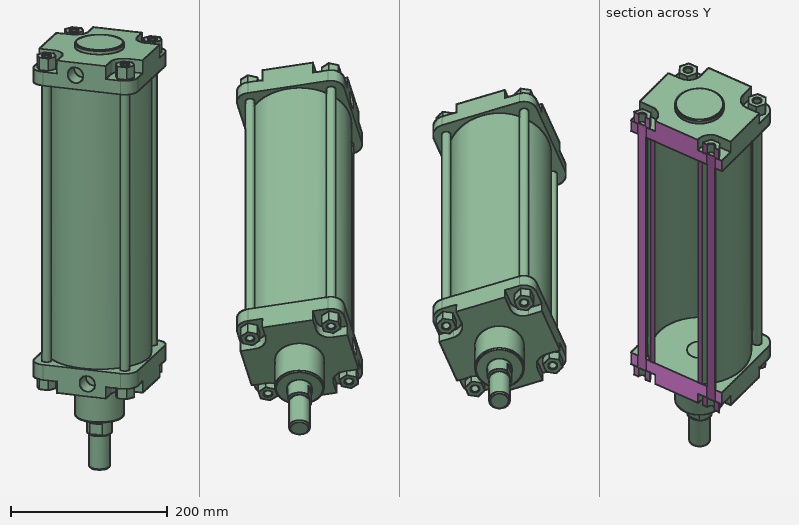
import cadquery as cq

total_length = 574.0
thread_length = 48.0
flats_length = 15.5
nose_length = 49.0
nose_end = 70.0
head_bottom = nose_end + nose_length
block_thickness = 36.0
collar_height = 6.0
cap_top = total_length - collar_height
cap_bottom = cap_top - block_thickness
head_top = head_bottom + block_thickness

block_width = 140.0
block_half = block_width / 2
block_corner_radius = 17.5
pocket_start = 33.0
pocket_corner_radius = 18.0
head_pocket_depth = 15.5
cap_pocket_depth = 17.5
nose_diameter = 63.0
nose_chamfer = 1.75
collar_chamfer = 1.5

port_diameter = 21.0
port_depth = 25.0
port_offset = 8.0
port_face_distance = 17.0

barrel_outer_diameter = 133.0
bore_diameter = 125.0

rod_diameter = 32.0
thread_diameter = 27.0
flats_width = 27.0
thread_chamfer = 2.0

tie_rod_spacing = 106.0
tie_rod_diameter = 12.0
nut_across_flats = 22.0
nut_across_corners = nut_across_flats * 2 / 3 ** 0.5
nut_socket_diameter = 10.0
nut_socket_depth = 15.0
socket_chamfer = 1.0
cap_nut_recess = 1.0
cap_nut_height = cap_pocket_depth - cap_nut_recess
head_nut_height = head_pocket_depth

corner_signs = [(sx, sy) for sx in (-1, 1) for sy in (-1, 1)]
tie_rod_points = [
    (sx * tie_rod_spacing / 2, sy * tie_rod_spacing / 2) for sx, sy in corner_signs
]


def cylinder(diameter, bottom, top):
    """Cylinder on the Z axis between two heights."""
    return cq.Workplane("XY").workplane(offset=bottom).circle(diameter / 2).extrude(top - bottom)


def end_block(bottom):
    """Square block with rounded corners and holes for the tie rods."""
    block = (
        cq.Workplane("XY")
        .workplane(offset=bottom)
        .rect(block_width, block_width)
        .extrude(block_thickness)
        .edges("|Z")
        .fillet(block_corner_radius)
    )
    holes = (
        cq.Workplane("XY")
        .workplane(offset=bottom)
        .pushPoints(tie_rod_points)
        .circle(tie_rod_diameter / 2)
        .extrude(block_thickness)
    )
    return block.cut(holes)


def corner_pockets(bottom, depth):
    """Four round-cornered recesses that seat the tie-rod nuts."""
    pocket_width = 2 * (block_half - pocket_start)
    return (
        cq.Workplane("XY")
        .workplane(offset=bottom)
        .pushPoints([(sx * block_half, sy * block_half) for sx, sy in corner_signs])
        .rect(pocket_width, pocket_width)
        .extrude(depth)
        .edges("|Z")
        .fillet(pocket_corner_radius)
    )


def port(x, z):
    """Blind air port entering from the -Y face."""
    return (
        cq.Workplane("XZ", origin=(x, -block_half, z))
        .circle(port_diameter / 2)
        .extrude(-port_depth)
    )


def make_rod_head():
    """End block with the long nose that guides the piston rod."""
    nose = cylinder(nose_diameter, nose_end, head_bottom).faces("<Z").chamfer(nose_chamfer)
    return (
        end_block(head_bottom)
        .cut(corner_pockets(head_bottom, head_pocket_depth))
        .union(nose)
        .cut(cylinder(rod_diameter, nose_end, head_top))
        .cut(port(port_offset, head_bottom + port_face_distance))
    )


def make_rear_cap():
    """End block with a low centring collar on top."""
    collar = cylinder(nose_diameter, cap_top, total_length).faces(">Z").chamfer(collar_chamfer)
    return (
        end_block(cap_bottom)
        .cut(corner_pockets(cap_top - cap_pocket_depth, cap_pocket_depth))
        .union(collar)
        .cut(port(-port_offset, cap_top - port_face_distance))
    )


def make_barrel():
    """Plain tube clamped between the two end blocks."""
    outside = cylinder(barrel_outer_diameter, head_top, cap_bottom)
    return outside.cut(cylinder(bore_diameter, head_top, cap_bottom))


def make_piston_rod():
    """Rod with a pair of wrench flats and a threaded end chamfered at both ends."""
    flats_top = thread_length + flats_length
    flats_slab = (
        cq.Workplane("XY")
        .workplane(offset=thread_length)
        .rect(rod_diameter, flats_width)
        .extrude(flats_length)
    )
    flats = cylinder(rod_diameter, thread_length, flats_top).intersect(flats_slab)
    rod = cylinder(rod_diameter, flats_top, head_top).union(flats)
    thread = cylinder(thread_diameter, 0, thread_length).faces("|Z").chamfer(thread_chamfer)
    return rod.union(thread)


def nut(x, y, bottom, height):
    """Hexagonal nut with two corners along X."""
    return (
        cq.Workplane("XY", origin=(x, y, bottom))
        .polygon(6, nut_across_corners)
        .extrude(height)
    )


def nut_socket(x, y, face, inward):
    """Countersunk blind hole in the outer face of a nut; inward is +1 or -1 along Z."""
    radius = nut_socket_diameter / 2
    return (
        cq.Workplane("XZ", origin=(x, y, face))
        .moveTo(0, 0)
        .lineTo(radius + socket_chamfer, 0)
        .lineTo(radius, inward * socket_chamfer)
        .lineTo(radius, inward * nut_socket_depth)
        .lineTo(0, inward * nut_socket_depth)
        .close()
        .revolve(360, (0, 0), (0, 1))
    )


def make_tie_rod(x, y):
    """Tie rod with its two end nuts."""
    head_seat = head_bottom + head_pocket_depth
    cap_seat = cap_top - cap_pocket_depth
    head_nut_face = head_seat - head_nut_height
    cap_nut_face = cap_seat + cap_nut_height
    shank = (
        cq.Workplane("XY", origin=(x, y, head_seat))
        .circle(tie_rod_diameter / 2)
        .extrude(cap_seat - head_seat)
    )
    return (
        shank.union(nut(x, y, head_nut_face, head_nut_height))
        .union(nut(x, y, cap_seat, cap_nut_height))
        .cut(nut_socket(x, y, head_nut_face, 1))
        .cut(nut_socket(x, y, cap_nut_face, -1))
    )


rod_head = make_rod_head()
rear_cap = make_rear_cap()
barrel = make_barrel()
piston_rod = make_piston_rod()
tie_rods = [make_tie_rod(x, y) for x, y in tie_rod_points]

result = cq.Compound.makeCompound(
    [
        rod_head.val(),
        rear_cap.val(),
        barrel.val(),
        piston_rod.val(),
        *[tie_rod.val() for tie_rod in tie_rods],
    ]
)